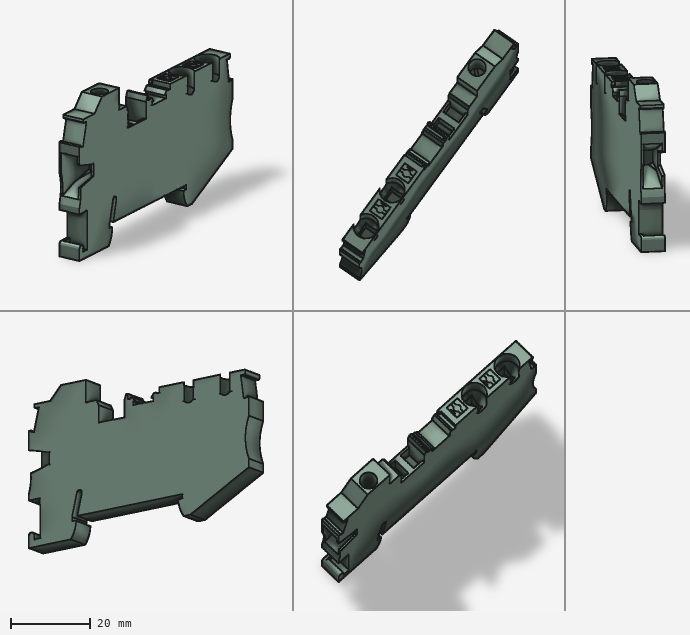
import cadquery as cq

WIDTH = 6.15
LENGTH = 69.3
HEIGHT = 41.25

DECK_Z = 35.3
SHOULDER_Z = 37.65
LEDGE_Z = 33.9
SHELF_Z = 33.0
MARKER_FLOOR_Z = 32.0
JUMPER_FLOOR_Z = 29.25
RAIL_Z = 5.85

MARKER_START_Y = 32.85
MARKER_END_Y = 39.15
MARKER_HOOK_NEAR_Y = 31.2
MARKER_HOOK_FAR_Y = 41.05
HOOK_WIDTH = 0.84
HOOK_REACH = 0.8
JUMPER_START_Y = 22.0
JUMPER_END_Y = 30.1

SLOT_TOP_Z = 12.55
SLOT_WIDTH = 1.6
SLOT_LENGTH = 12.0
SLOT_LEAN = -14.0
SLOT_TOP_Y = 15.95

LIP_Z = 4.0
LIP_RADIUS = 0.85
FOOT_BACK_Y = 3.6

TROUGH_FLOOR_Z = 2.0
TROUGH_SIDE_X = 0.84

SOCKET_SIDE_X = 0.65
SOCKET_WIDTH = 4.8
SOCKET_LENGTH = 3.1
SOCKET_DEPTH = 5.0

ENTRY_X = 3.3
ENTRY_RADIUS = 3.2
ENTRY_SPACING = 11.45
FIRST_ENTRY_Y = 50.35
ENTRY_BORE_DEPTH = 5.0
ENTRY_TAPER_DEPTH = 4.0
ENTRY_TAPER_RADIUS = 1.2
CLAMP_X = 2.95
CLAMP_WIDTH = 3.72
CLAMP_LENGTH = 3.15
CLAMP_DEPTH = 12.0
CLAMP_OFFSET_Y = -0.35

BUTTON_X = 2.95
BUTTON_OFFSET_Y = -5.7
BUTTON_SIZE = 3.75
BUTTON_RECESS = 0.1
BUTTON_SLOT_WIDTH = 0.85
BUTTON_DIMPLE_DIAMETER = 1.9
BUTTON_NOTCH_WIDTH = 1.5
BUTTON_NOTCH_LENGTH = 0.45
BUTTON_MARK_DEPTH = 0.1

SCREW_X = 3.5
SCREW_Y = 13.05
SCREW_RADIUS = 2.2
SCREW_WELL_DEPTH = 10.0
SCREW_SLOT_WIDTH = 0.78
SCREW_SLOT_DEPTH = 0.6
SCREW_SLOT_ANGLE = -45.0

FUNNEL_DEPTH = 10.7
FUNNEL_MOUTH_X = (0.6, 5.45)
FUNNEL_MOUTH_Z = (16.1, 28.0)
FUNNEL_THROAT_X = (1.85, 5.0)
FUNNEL_THROAT_Z = (20.25, 24.0)
FUNNEL_NEAR_BEND_Y = 5.9
FUNNEL_FAR_BEND_Y = 8.5

THROAT_CONE_X = 3.33
FUNNEL_AXIS_Z = 22.6
THROAT_CONE_MOUTH_RADIUS = 8.6
THROAT_CONE_END_RADIUS = 2.4

BREAKOUT_X = 4.4
BREAKOUT_MOUTH_RADIUS = 3.6
BREAKOUT_END_RADIUS = 2.3
BREAKOUT_DEPTH = 6.5


def side_outline():
    """Closed side outline in the YZ plane, run from the foot upward."""
    return (
        cq.Workplane("YZ")
        .moveTo(0, 0)
        .lineTo(0, LIP_Z - LIP_RADIUS)
        .radiusArc((LIP_RADIUS, LIP_Z), LIP_RADIUS)
        .lineTo(FOOT_BACK_Y, LIP_Z)
        .lineTo(FOOT_BACK_Y, 10.1)
        .lineTo(3.45, 12.55)
        .lineTo(0, 12.55)
        .lineTo(0, 14.2)
        .threePointArc((0.67, 18.45), (0, 22.7))
        .lineTo(0, 30.75)
        .lineTo(0.63, 30.95)
        .lineTo(0.8, 30.5)
        .lineTo(1.6, 30.3)
        .lineTo(3.2, 36.6)
        .lineTo(2.0, 36.6)
        .lineTo(1.7, 36.9)
        .lineTo(1.75, SHOULDER_Z)
        .lineTo(6.8, SHOULDER_Z)
        .lineTo(10.2, HEIGHT)
        .lineTo(18.0, HEIGHT)
        .lineTo(18.0, DECK_Z)
        .lineTo(21.35, DECK_Z)
        .lineTo(JUMPER_START_Y, LEDGE_Z)
        .lineTo(JUMPER_START_Y, JUMPER_FLOOR_Z)
        .lineTo(JUMPER_END_Y, JUMPER_FLOOR_Z)
        .lineTo(JUMPER_END_Y, 33.8)
        .lineTo(30.7, DECK_Z)
        .lineTo(31.3, DECK_Z)
        .lineTo(31.65, 34.6)
        .lineTo(MARKER_HOOK_NEAR_Y, 34.6)
        .lineTo(MARKER_HOOK_NEAR_Y, LEDGE_Z)
        .lineTo(32.0, LEDGE_Z)
        .lineTo(32.1, 34.1)
        .lineTo(32.65, 34.1)
        .lineTo(33.5, SHELF_Z)
        .lineTo(MARKER_START_Y, SHELF_Z)
        .lineTo(MARKER_START_Y, MARKER_FLOOR_Z)
        .lineTo(MARKER_END_Y, MARKER_FLOOR_Z)
        .lineTo(MARKER_END_Y, SHELF_Z)
        .lineTo(38.5, SHELF_Z)
        .lineTo(39.5, 34.1)
        .lineTo(40.0, 34.1)
        .lineTo(40.1, LEDGE_Z)
        .lineTo(MARKER_HOOK_FAR_Y, LEDGE_Z)
        .lineTo(MARKER_HOOK_FAR_Y, 34.6)
        .lineTo(40.35, 34.5)
        .lineTo(40.7, DECK_Z)
        .lineTo(68.0, DECK_Z)
        .threePointArc((68.2, 34.6), (67.8, 34.0))
        .lineTo(66.75, 34.0)
        .lineTo(67.65, 27.85)
        .lineTo(68.75, 27.85)
        .lineTo(68.85, 28.25)
        .lineTo(LENGTH, 28.0)
        .lineTo(LENGTH, 22.9)
        .threePointArc((68.2, 17.2), (LENGTH, 11.6))
        .lineTo(LENGTH, 9.3)
        .lineTo(50.9, 0)
        .lineTo(48.75, 0)
        .threePointArc((47.65, 1.9), (47.05, 4.6))
        .lineTo(48.4, 4.75)
        .lineTo(48.4, RAIL_Z)
        .lineTo(13.65, RAIL_Z)
        .lineTo(13.65, 4.75)
        .lineTo(14.95, 4.6)
        .threePointArc((14.35, 1.9), (13.25, 0))
        .close()
    )


def box_between(x0, x1, y0, y1, z0, z1):
    return cq.Workplane("XY").box(x1 - x0, y1 - y0, z1 - z0, centered=False).translate((x0, y0, z0))


def release_slot():
    """Leaning round-ended slot that opens into the rail seat."""
    radius = SLOT_WIDTH / 2
    slot = (
        cq.Workplane("YZ")
        .moveTo(-radius, -SLOT_LENGTH)
        .lineTo(radius, -SLOT_LENGTH)
        .lineTo(radius, 0)
        .threePointArc((0, radius), (-radius, 0))
        .close()
        .extrude(WIDTH)
        .rotate((0, 0, 0), (1, 0, 0), SLOT_LEAN)
        .translate((0, SLOT_TOP_Y, SLOT_TOP_Z - radius))
    )
    above_seat = box_between(0, WIDTH, 0, LENGTH, RAIL_Z, HEIGHT)
    return slot.intersect(above_seat)


def hook_relief(y0, y1):
    """Removes a marker hook everywhere except along the closed side."""
    return box_between(HOOK_WIDTH, WIDTH, y0, y1, LEDGE_Z, DECK_Z)


def jumper_socket(y0):
    floor = JUMPER_FLOOR_Z
    side = SOCKET_SIDE_X
    return box_between(side, side + SOCKET_WIDTH, y0, y0 + SOCKET_LENGTH, floor - SOCKET_DEPTH, floor)


def wire_entry(y):
    """Round bore, a cone below it and a rectangular clamp shaft."""
    down = cq.Vector(0, 0, -1)
    cone_top = cq.Vector(ENTRY_X, y, DECK_Z - ENTRY_BORE_DEPTH)
    bore = cq.Solid.makeCylinder(ENTRY_RADIUS, ENTRY_BORE_DEPTH, cq.Vector(ENTRY_X, y, DECK_Z), down)
    cone = cq.Solid.makeCone(ENTRY_RADIUS, ENTRY_TAPER_RADIUS, ENTRY_TAPER_DEPTH, cone_top, down)
    shaft_top = DECK_Z - ENTRY_BORE_DEPTH
    shaft_x = CLAMP_X - CLAMP_WIDTH / 2
    shaft_y = y + CLAMP_OFFSET_Y - CLAMP_LENGTH / 2
    shaft = box_between(
        shaft_x,
        shaft_x + CLAMP_WIDTH,
        shaft_y,
        shaft_y + CLAMP_LENGTH,
        DECK_Z - CLAMP_DEPTH,
        shaft_top,
    )
    return cq.Workplane(bore).union(cq.Workplane(cone)).union(shaft)


def release_button(y):
    """Shallow square recess with a slot, a dimple and an edge notch sunk into it."""
    recess = cq.Workplane("XY").rect(BUTTON_SIZE, BUTTON_SIZE).extrude(-BUTTON_RECESS)
    floor = cq.Workplane("XY").workplane(offset=-BUTTON_RECESS)
    slot = floor.rect(BUTTON_SIZE, BUTTON_SLOT_WIDTH).extrude(-BUTTON_MARK_DEPTH)
    dimple = floor.circle(BUTTON_DIMPLE_DIAMETER / 2).extrude(-BUTTON_MARK_DEPTH)
    notch_y = (BUTTON_NOTCH_LENGTH - BUTTON_SIZE) / 2
    notch = floor.center(0, notch_y).rect(BUTTON_NOTCH_WIDTH, BUTTON_NOTCH_LENGTH).extrude(-BUTTON_MARK_DEPTH)
    return recess.union(slot).union(dimple).union(notch).translate((BUTTON_X, y, DECK_Z))


def screw_well():
    """Round well whose floor, the screw head, carries a diagonal slot."""
    well = cq.Workplane("XY").circle(SCREW_RADIUS).extrude(-SCREW_WELL_DEPTH)
    slot = (
        cq.Workplane("XY")
        .workplane(offset=-SCREW_WELL_DEPTH)
        .rect(2 * SCREW_RADIUS, SCREW_SLOT_WIDTH)
        .extrude(-SCREW_SLOT_DEPTH)
        .rotate((0, 0, 0), (0, 0, 1), SCREW_SLOT_ANGLE)
    )
    head = cq.Workplane("XY").circle(SCREW_RADIUS).extrude(-SCREW_WELL_DEPTH - SCREW_SLOT_DEPTH)
    return well.union(slot.intersect(head)).translate((SCREW_X, SCREW_Y, HEIGHT))


def cone_along_y(x, mouth_radius, end_radius, depth):
    axis_start = cq.Vector(x, 0, FUNNEL_AXIS_Z)
    return cq.Workplane(cq.Solid.makeCone(mouth_radius, end_radius, depth, axis_start, cq.Vector(0, 1, 0)))


def end_funnel():
    """Narrowing rectangular mouth with a cone that breaks out of one side."""
    near_x, far_x = FUNNEL_MOUTH_X
    throat_near_x, throat_far_x = FUNNEL_THROAT_X
    low_z, high_z = FUNNEL_MOUTH_Z
    throat_low_z, throat_high_z = FUNNEL_THROAT_Z
    between_slopes = (
        cq.Workplane("YZ")
        .moveTo(0, low_z)
        .lineTo(FUNNEL_DEPTH, throat_low_z)
        .lineTo(FUNNEL_DEPTH, throat_high_z)
        .lineTo(0, high_z)
        .close()
        .extrude(WIDTH)
    )
    between_sides = (
        cq.Workplane("XY")
        .moveTo(near_x, 0)
        .lineTo(near_x, FUNNEL_NEAR_BEND_Y)
        .lineTo(throat_near_x, FUNNEL_DEPTH)
        .lineTo(throat_far_x, FUNNEL_DEPTH)
        .lineTo(far_x, FUNNEL_FAR_BEND_Y)
        .lineTo(far_x, 0)
        .close()
        .extrude(HEIGHT)
    )
    throat_cone = cone_along_y(THROAT_CONE_X, THROAT_CONE_MOUTH_RADIUS, THROAT_CONE_END_RADIUS, FUNNEL_DEPTH)
    breakout = cone_along_y(BREAKOUT_X, BREAKOUT_MOUTH_RADIUS, BREAKOUT_END_RADIUS, BREAKOUT_DEPTH)
    return between_slopes.intersect(between_sides).intersect(throat_cone).union(breakout)


def lip_trough():
    """Open-ended trough that leaves a half-round bead along the lip."""
    return (
        cq.Workplane("YZ")
        .workplane(offset=TROUGH_SIDE_X)
        .moveTo(LIP_RADIUS, LIP_Z)
        .radiusArc((2 * LIP_RADIUS, LIP_Z - LIP_RADIUS), LIP_RADIUS)
        .lineTo(2 * LIP_RADIUS, TROUGH_FLOOR_Z)
        .lineTo(FOOT_BACK_Y, TROUGH_FLOOR_Z)
        .lineTo(FOOT_BACK_Y, LIP_Z)
        .close()
        .extrude(WIDTH - TROUGH_SIDE_X)
    )


body = side_outline().extrude(WIDTH)
body = body.cut(release_slot())
body = body.cut(lip_trough())

body = body.cut(hook_relief(MARKER_HOOK_NEAR_Y, MARKER_HOOK_NEAR_Y + HOOK_REACH))
body = body.cut(hook_relief(MARKER_HOOK_FAR_Y - HOOK_REACH, MARKER_HOOK_FAR_Y))

for socket_y in (JUMPER_START_Y, JUMPER_END_Y - SOCKET_LENGTH):
    body = body.cut(jumper_socket(socket_y))

for entry_y in (FIRST_ENTRY_Y, FIRST_ENTRY_Y + ENTRY_SPACING):
    body = body.cut(wire_entry(entry_y))
    body = body.cut(release_button(entry_y + BUTTON_OFFSET_Y))

body = body.cut(screw_well())
body = body.cut(end_funnel())

result = body.solids().translate((-WIDTH / 2, -LENGTH / 2, 0))